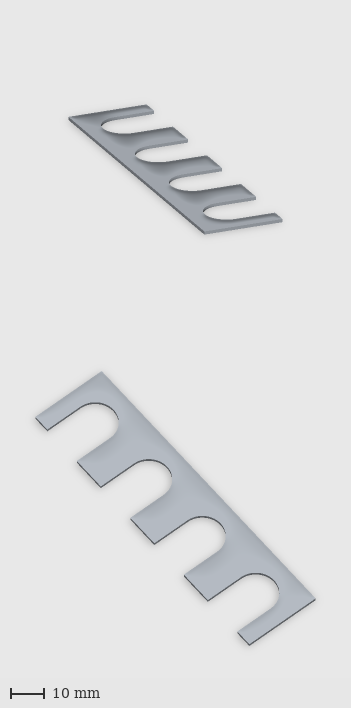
import cadquery as cq

length = 101.6
depth = 25.4
thickness = 1.0

slot_count = 4
slot_width = 14.0
web_depth = 5.7

slot_radius = slot_width / 2
slot_pitch = length / slot_count
arc_center_y = web_depth + slot_radius


def slot_cutter(center_x):
    """Solid that cuts one U-shaped slot through the plate."""
    return (
        cq.Workplane("XY")
        .moveTo(center_x - slot_radius, depth)
        .lineTo(center_x - slot_radius, arc_center_y)
        .threePointArc((center_x, web_depth), (center_x + slot_radius, arc_center_y))
        .lineTo(center_x + slot_radius, depth)
        .close()
        .extrude(thickness)
    )


result = cq.Workplane("XY").box(length, depth, thickness, centered=False)
for index in range(slot_count):
    result = result.cut(slot_cutter((index + 0.5) * slot_pitch))